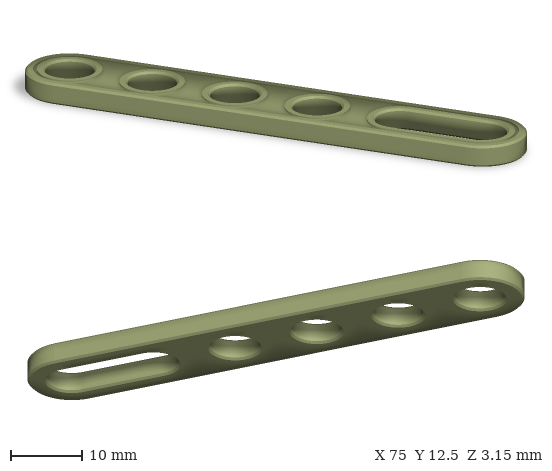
import cadquery as cq

length = 75.0
hole_count = 4
pitch = length / 6
width = pitch
thickness = 3.15
bore_diameter = 7.0
collar_diameter = 9.2
rim_width = 1.1
recess_depth = 0.2
edge_chamfer = 0.3

end_center = (length - width) / 2
hole_positions = [(-end_center + i * pitch, 0) for i in range(hole_count)]
slot_position = (end_center - pitch / 2, 0)
recess_floor = thickness - recess_depth


def stadium(diameter, center_distance, height, base=0.0, center=(0, 0)):
    """Upright round-ended block along X, standing on Z = base."""
    plane = cq.Workplane("XY", origin=(center[0], center[1], base))
    return plane.slot2D(center_distance + diameter, diameter).extrude(height)


def openings(diameter, height, base=0.0):
    """Cylinders at the holes and a round-ended block at the slot."""
    holes = cq.Workplane("XY", origin=(0, 0, base)).pushPoints(hole_positions)
    cylinders = holes.circle(diameter / 2).extrude(height)
    return cylinders.union(stadium(diameter, pitch, height, base, slot_position))


strap = stadium(width, length - width, thickness).cut(openings(bore_diameter, thickness))
strap = strap.faces("<Z or >Z").edges().chamfer(edge_chamfer)

recess = stadium(width - 2 * rim_width, length - width, recess_depth, recess_floor)
recess = recess.cut(openings(collar_diameter, recess_depth, recess_floor))

result = strap.cut(recess)